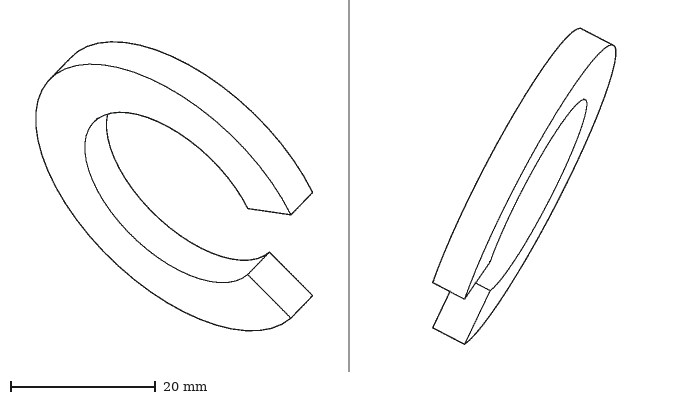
import cadquery as cq
import math

outer_radius = 23.45
inner_radius = 14.97
thickness = 5.0
half_gap_angle = math.radians(28.6)


def ring_point(radius, angle):
    """Point (X, Z) on a circle about the ring axis."""
    return (radius * math.cos(angle), radius * math.sin(angle))


outline = (
    cq.Workplane("XZ")
    .moveTo(*ring_point(outer_radius, half_gap_angle))
    .threePointArc((-outer_radius, 0), ring_point(outer_radius, -half_gap_angle))
    .lineTo(*ring_point(inner_radius, -half_gap_angle))
    .threePointArc((-inner_radius, 0), ring_point(inner_radius, half_gap_angle))
    .close()
)

result = outline.extrude(thickness / 2, both=True)